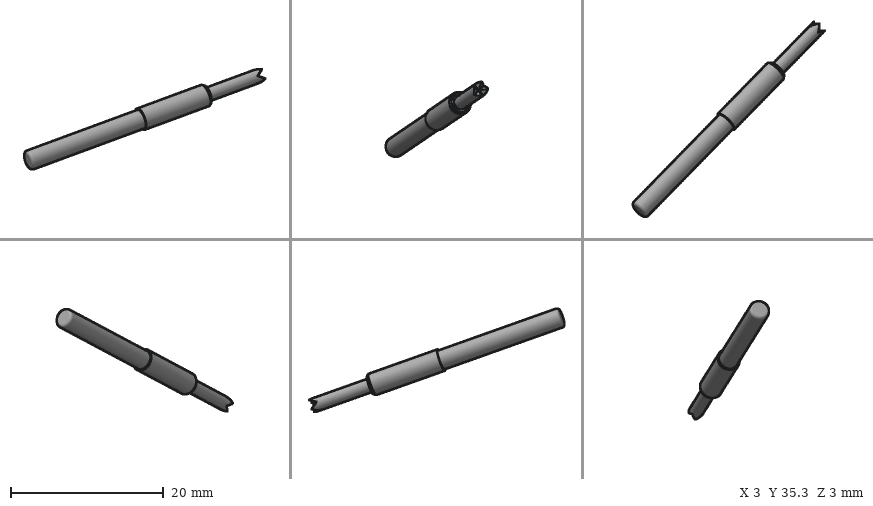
import cadquery as cq
import math

total_length = 35.3
plunger_diameter = 1.87
plunger_length = 8.3
collar_diameter = 3.0
collar_length = 10.0
collar_chamfer_length = 0.32
collar_chamfer_inset = 0.2
barrel_diameter = 2.65
barrel_end_fillet = 0.4
crown_depth = 1.0

barrel_length = total_length - plunger_length - collar_length
tip_y = total_length / 2
tail_y = -total_length / 2
collar_start_y = tail_y + barrel_length
collar_end_y = collar_start_y + collar_length


def turned_body():
    """Revolve the half profile of barrel, collar and plunger about the Y axis."""
    plunger_radius = plunger_diameter / 2
    collar_radius = collar_diameter / 2
    barrel_radius = barrel_diameter / 2
    profile = (
        cq.Workplane("XY")
        .moveTo(0, tail_y)
        .lineTo(barrel_radius - barrel_end_fillet, tail_y)
        .radiusArc((barrel_radius, tail_y + barrel_end_fillet), -barrel_end_fillet)
        .lineTo(barrel_radius, collar_start_y)
        .lineTo(collar_radius, collar_start_y)
        .lineTo(collar_radius, collar_end_y - collar_chamfer_length)
        .lineTo(collar_radius - collar_chamfer_inset, collar_end_y)
        .lineTo(plunger_radius, collar_end_y)
        .lineTo(plunger_radius, tip_y)
        .lineTo(0, tip_y)
        .close()
    )
    return profile.revolve(360, (0, 0, 0), (0, 1, 0))


def crown_groove(angle):
    """V groove across the tip, turned about Y; its sides meet the tooth points."""
    tooth_offset = plunger_diameter / 2 * math.sin(math.radians(45))
    groove = (
        cq.Workplane("XY")
        .moveTo(0, tip_y - crown_depth)
        .lineTo(2 * tooth_offset, tip_y + crown_depth)
        .lineTo(-2 * tooth_offset, tip_y + crown_depth)
        .close()
        .extrude(plunger_diameter, both=True)
    )
    return groove.rotate((0, 0, 0), (0, 1, 0), angle)


result = turned_body()
for groove_angle in (45, 135):
    result = result.cut(crown_groove(groove_angle))